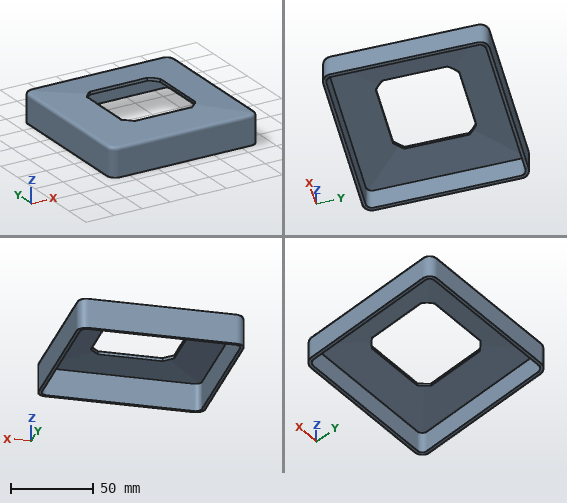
import cadquery as cq
import math

side = 105.0
height = 22.0
eave_height = 20.1
thickness = 2.1
corner_radius = 6.1
rim_radius = 2.1
opening_side = 52.5
opening_corner_diameter = 66.5

peak_side = opening_corner_diameter / math.sqrt(2)
roof_rise_per_unit = (height - eave_height) / ((side - peak_side) / 2)
inner_side = side - 2 * thickness
inner_eave_height = eave_height - thickness + thickness * roof_rise_per_unit


def hipped_block(width, eave, top_width, radius):
    """Square block with rounded upright corners under a shallow four-sided roof."""
    top = eave + (width - top_width) / 2 * roof_rise_per_unit
    base = cq.Workplane("XY").rect(width, width).extrude(eave)
    roof = (
        cq.Workplane("XY", origin=(0, 0, eave))
        .rect(width, width)
        .workplane(offset=top - eave)
        .rect(top_width, top_width)
        .loft(ruled=True)
    )
    column = cq.Workplane("XY").rect(width, width).extrude(top).edges("|Z").fillet(radius)
    return base.union(roof).intersect(column)


def opening_cutter():
    """Square opening whose corners are trimmed by a circle."""
    square = cq.Workplane("XY").rect(opening_side, opening_side).extrude(height)
    return square.intersect(cq.Workplane("XY").circle(opening_corner_diameter / 2).extrude(height))


outer = hipped_block(side, eave_height, peak_side, corner_radius)
flat_side_top = cq.selectors.BoxSelector(
    (-side, -side, eave_height - rim_radius / 2),
    (side, side, eave_height + corner_radius * roof_rise_per_unit),
)
outer = outer.edges(flat_side_top).edges("|X or |Y").fillet(rim_radius)

cavity = hipped_block(inner_side, inner_eave_height, peak_side, corner_radius - thickness)
result = outer.cut(cavity).cut(opening_cutter())